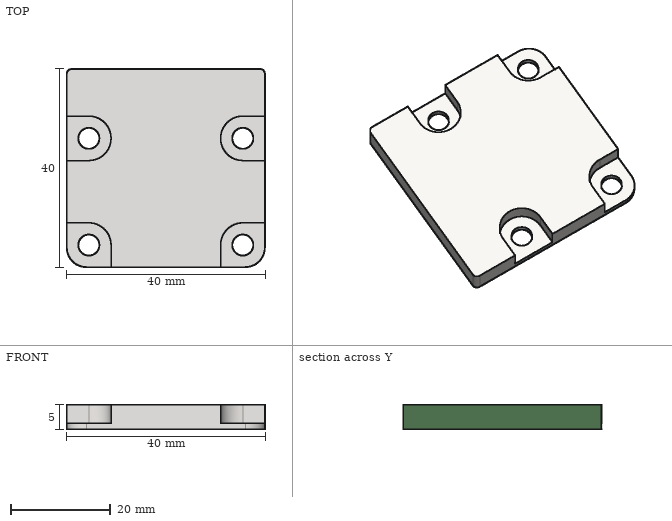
import cadquery as cq

side = 40.0
height = 5.0
front_corner_radius = 4.0
back_corner_radius = 1.0

seat_thickness = 1.3
seat_radius = 4.5
hole_diameter = 4.2
hole_inset = 4.5
row_spacing = 21.5

left_x = hole_inset
right_x = side - hole_inset
front_y = hole_inset
middle_y = front_y + row_spacing
seat_depth = height - seat_thickness


def cut_box(x_min, x_max, y_min, y_max):
    """Block reaching from the seat floor to the plate top."""
    return (
        cq.Workplane("XY")
        .box(x_max - x_min, y_max - y_min, seat_depth, centered=False)
        .translate((x_min, y_min, seat_thickness))
    )


def seat_cutter(x, y, open_to_front):
    """Round seat extended to the nearer side edge and, at a corner, to the front edge."""
    edge_x = 0 if x < side / 2 else side
    x_min, x_max = sorted((x, edge_x))
    cutter = (
        cq.Workplane("XY", origin=(x, y, seat_thickness))
        .circle(seat_radius)
        .extrude(seat_depth)
        .union(cut_box(x_min, x_max, y - seat_radius, y + seat_radius))
    )
    if open_to_front:
        cutter = cutter.union(cut_box(x - seat_radius, x + seat_radius, 0, y))
    return cutter


plate = cq.Workplane("XY").box(side, side, height, centered=False)
plate = plate.edges("|Z and <Y").fillet(front_corner_radius)
plate = plate.edges("|Z and >Y").fillet(back_corner_radius)

for hole_x in (left_x, right_x):
    plate = plate.cut(seat_cutter(hole_x, front_y, open_to_front=True))
    plate = plate.cut(seat_cutter(hole_x, middle_y, open_to_front=False))

hole_centers = [(x, y) for x in (left_x, right_x) for y in (front_y, middle_y)]
holes = cq.Workplane("XY").pushPoints(hole_centers).circle(hole_diameter / 2).extrude(height)

result = plate.cut(holes)